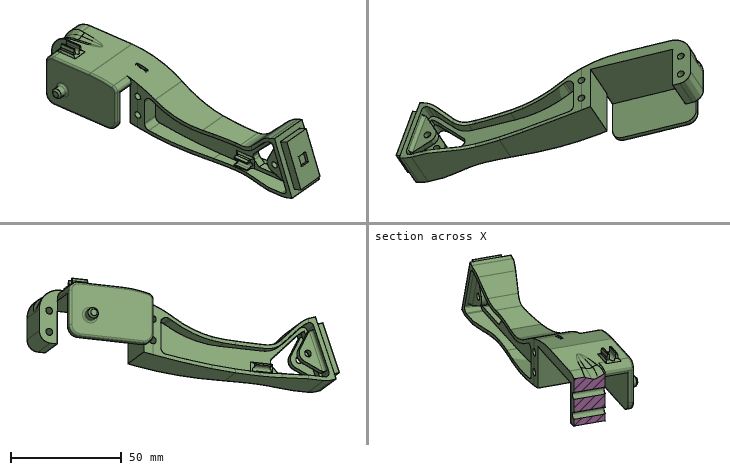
import math

import cadquery as cq


overall_height = 33.76

top_z = 30.2
housing_bottom_z = 4.75
cavity_left_x = 8.7
cavity_right_x = 48.8
cavity_top_z = 25.0
end_block_width = 15.4
end_block_top_radius = 10.0
end_block_bottom_radius = 5.3
mount_hole_diameter = 3.2
mount_hole_xs = (4.8, 53.2)
mount_hole_zs = (10.0, 20.0)

plate_right_x = 49.45
plate_inner_y = -28.0
plate_outer_y = -30.9
plate_bottom_radius = 5.0
plate_top_radius = 4.2
plate_tail_radius = 3.0
plate_edge_radius = 1.0

pin_x = 18.5
pin_z = 15.0
pin_diameter = 5.0
pin_length = 5.0
pin_root_radius = 1.1
pin_tip_chamfer = 0.95

arm_width = 20.0
arm_height = 15.0
shoulder_start_x = 34.1
shoulder_inflection_x = 63.0
neck_start_x = 88.6
neck_end_x = 109.5
ramp_start_x = 116.5
ramp_end_x = 124.1
ramp_slope = math.radians(45)
ramp_start_z = arm_height + (ramp_start_x - neck_end_x) * math.tan(ramp_slope / 2)
arm_left_z = 4.0
underside_flat_x = 94.4
heel_start_x = 136.0
heel_tip_straight = 1.6
toe_tip_straight = 2.3

end_tilt = math.radians(19.6)
end_face_length = 30.0
end_top_x = 131.91
end_top_z = 29.65

waist_start_x = 53.2
waist_arc_ends = ((82.5, 1.75), (94.4, 3.05), (106.4, 3.7), (116.8, 2.5), (128.5, 0.0))

rim_thickness = 1.8
end_wall_thickness = 2.3
web_thickness = 4.0
web_front_y = -(arm_width + web_thickness) / 2
pocket_left_x = 57.1
pocket_left_radius = 2.8
pocket_right_radius = 2.0
ledge_width = 2.0
window_left_x = 113.3
window_left_z = 7.2
window_corner_radius = 2.0

lug_hole_diameter = 3.1
lug_hole_setback = 7.9
lug_nose_radius = 4.25
lug_base_half_length = 9.85
lug_thickness = 3.0
lug_spread = 14.0
lug_root_radius = 1.5

pad_length = 24.0
pad_width = 14.0
pad_thickness = 4.0
pad_recess_size = 5.0
pad_recess_depth = 1.5

clip_length = 7.4
clip_height = overall_height - top_z
clip_channel_width = 3.1
clip_prong_thickness = 1.2
clip_tip_chamfer = 0.5
clip_tip_height = 1.4
clip_channel_floor = 0.4
clip_foot_length = 10.6
clip_foot_width = 7.2
clip_foot_height = 0.9
top_clip_x = 16.2
top_clip_y = -21.85
web_clip_x = 108.9
web_clip_z = 3.9

groove_y = -arm_width / 2
groove_tip_x = 25.0
groove_bend_x = 11.6
groove_flank = (0.9, 12.0, 9.0)
groove_bottom = (1.3, 12.3, 3.0)
slot_diameter = 1.5
slot_start_x = 44.6
slot_end_x = 50.6
slot_top_z = 29.2
slot_floor_z = 27.0

far = 400.0


def box(x0, x1, y0, y1, z0, z1):
    return cq.Workplane("XY").box(x1 - x0, y1 - y0, z1 - z0, centered=False).translate((x0, y0, z0))


def side_sketch(y=0.0):
    """XZ workplane at the given Y; extruding it goes towards -Y."""
    return cq.Workplane("XZ", origin=(0, y, 0))


def end_point(down, out):
    """(x, z) of a point given from the middle of the end face: down its slope and outward."""
    along = down + end_face_length / 2
    x = end_top_x + along * math.sin(end_tilt) + out * math.cos(end_tilt)
    z = end_top_z - along * math.cos(end_tilt) + out * math.sin(end_tilt)
    return x, z


def end_plane(y=0.0):
    """Plane on the end face: local X across the arm, local Y up the slope, normal outward."""
    x, z = end_point(0, 0)
    return cq.Plane(
        origin=(x, y, z),
        xDir=(0, 1, 0),
        normal=(math.cos(end_tilt), 0, math.sin(end_tilt)),
    )


def arm_outline():
    fall = top_z - arm_height
    shoulder_share = (shoulder_inflection_x - shoulder_start_x) / (neck_start_x - shoulder_start_x)
    ramp_end_z = ramp_start_z + (ramp_end_x - ramp_start_x) * math.tan(ramp_slope)
    half = end_face_length / 2
    return (
        side_sketch()
        .moveTo(0, housing_bottom_z + end_block_bottom_radius)
        .lineTo(0, top_z - end_block_top_radius)
        .tangentArcPoint((end_block_top_radius, top_z), relative=False)
        .lineTo(shoulder_start_x, top_z)
        .tangentArcPoint((shoulder_inflection_x, top_z - fall * shoulder_share), relative=False)
        .tangentArcPoint((neck_start_x, arm_height), relative=False)
        .lineTo(neck_end_x, arm_height)
        .tangentArcPoint((ramp_start_x, ramp_start_z), relative=False)
        .lineTo(ramp_end_x, ramp_end_z)
        .tangentArcPoint(end_point(-half, -toe_tip_straight), relative=False)
        .lineTo(*end_point(-half, 0))
        .lineTo(*end_point(half, 0))
        .lineTo(*end_point(half, -heel_tip_straight))
        .tangentArcPoint((heel_start_x, 0), relative=False)
        .lineTo(underside_flat_x, 0)
        .tangentArcPoint((cavity_right_x, arm_left_z), relative=False)
        .lineTo(cavity_right_x, housing_bottom_z)
        .lineTo(end_block_bottom_radius, housing_bottom_z)
        .tangentArcPoint((0, housing_bottom_z + end_block_bottom_radius), relative=False)
        .close()
    )


def waist_plan():
    """Prism of the arm's plan outline, narrowed equally on both sides of its middle plane."""
    middle_y = -arm_width / 2
    half = cq.Workplane("XY").moveTo(0, middle_y).lineTo(0, 0).lineTo(waist_start_x, 0)
    for x, inset in waist_arc_ends:
        half = half.tangentArcPoint((x, -inset), relative=False)
    half = half.lineTo(far, 0).lineTo(far, middle_y).close().extrude(far)
    return half.union(half.mirror("XZ").translate((0, 2 * middle_y, 0)))


def inset_prism(inset):
    """Prism of the arm outline drawn in by the given amount, up to the inside of the end wall."""
    prism = arm_outline().offset2D(-inset).extrude(arm_width)
    wall = cq.Workplane(end_plane()).workplane(offset=-end_wall_thickness).rect(far, far).extrude(far)
    return prism.cut(wall)


def pocket_prism():
    end_faces = cq.DirectionMinMaxSelector(end_plane().zDir)
    prism = inset_prism(rim_thickness).intersect(box(pocket_left_x, far, -far, far, -far, far))
    prism = prism.faces("<X").edges("|Y").fillet(pocket_left_radius)
    return prism.faces(end_faces).edges("|Y").fillet(pocket_right_radius)


def window_prism():
    inset = rim_thickness + ledge_width
    slant_run = far / 2
    slant_rise = slant_run * math.tan(ramp_slope)
    slant_z = ramp_start_z - (ramp_start_x - window_left_x) * math.tan(ramp_slope)
    slant_z -= inset / math.cos(ramp_slope)
    limit = (
        side_sketch()
        .moveTo(window_left_x + window_left_z, 0)
        .lineTo(window_left_x, window_left_z)
        .lineTo(window_left_x, slant_z)
        .lineTo(window_left_x + slant_run, slant_z + slant_rise)
        .lineTo(far, slant_z + slant_rise)
        .lineTo(far, 0)
        .close()
        .extrude(arm_width)
        .faces("<X")
        .edges("|Y")
        .fillet(window_corner_radius)
    )
    return inset_prism(inset).intersect(limit)


def lug(front_y):
    """Rounded triangular lug; its hole is added later, through both lugs."""
    base_out = -end_wall_thickness - lug_root_radius
    reach = lug_hole_setback + base_out
    distance = math.hypot(lug_base_half_length, reach)
    tangent_angle = math.atan2(lug_base_half_length, reach) + math.acos(lug_nose_radius / distance)
    nose_down = lug_nose_radius * math.sin(tangent_angle)
    nose_out = lug_nose_radius * math.cos(tangent_angle) - lug_hole_setback
    return (
        side_sketch(front_y + lug_thickness)
        .moveTo(*end_point(-lug_base_half_length, -end_wall_thickness / 2))
        .lineTo(*end_point(-lug_base_half_length, base_out))
        .lineTo(*end_point(-nose_down, nose_out))
        .threePointArc(
            end_point(0, -lug_hole_setback - lug_nose_radius),
            end_point(nose_down, nose_out),
        )
        .lineTo(*end_point(lug_base_half_length, base_out))
        .lineTo(*end_point(lug_base_half_length, -end_wall_thickness / 2))
        .close()
        .extrude(lug_thickness)
    )


def lug_root(front_y):
    """Concave fillet between the outer face of a lug and the end wall."""
    block = (
        cq.Workplane(end_plane(front_y))
        .workplane(offset=-end_wall_thickness)
        .center(-lug_root_radius / 2, 0)
        .rect(lug_root_radius, 2 * lug_base_half_length)
        .extrude(-lug_root_radius)
    )
    x, z = end_point(lug_base_half_length, -end_wall_thickness - lug_root_radius)
    round_plane = cq.Plane(
        origin=(x, front_y - lug_root_radius, z),
        xDir=(0, 1, 0),
        normal=(-math.sin(end_tilt), 0, math.cos(end_tilt)),
    )
    return block.cut(cq.Workplane(round_plane).circle(lug_root_radius).extrude(2 * lug_base_half_length))


def hinge_lugs():
    front_y = -(arm_width + lug_spread) / 2
    front = lug(front_y).union(lug_root(front_y))
    back = front.mirror("XZ").translate((0, -arm_width, 0))
    return front.union(back)


def end_pad():
    """Raised pad on the end face with a shallow square recess in its middle."""
    pad = cq.Workplane(end_plane(-arm_width / 2)).rect(pad_width, pad_length).extrude(pad_thickness)
    recess = (
        cq.Workplane(end_plane(-arm_width / 2))
        .workplane(offset=pad_thickness - pad_recess_depth)
        .rect(pad_recess_size, pad_recess_size)
        .extrude(pad_recess_depth)
    )
    return pad.cut(recess)


def cable_clip():
    """Two prongs with a round-bottomed channel along X, standing on Z = 0."""
    half_channel = clip_channel_width / 2
    half_width = half_channel + clip_prong_thickness
    prongs = (
        cq.Workplane("YZ")
        .moveTo(-half_width, 0)
        .lineTo(-half_width, clip_height - clip_tip_height)
        .lineTo(-half_width + clip_tip_chamfer, clip_height)
        .lineTo(half_width - clip_tip_chamfer, clip_height)
        .lineTo(half_width, clip_height - clip_tip_height)
        .lineTo(half_width, 0)
        .close()
        .extrude(clip_length / 2, both=True)
    )
    foot = (
        cq.Workplane("XY")
        .rect(clip_foot_length, clip_foot_width)
        .workplane(offset=clip_foot_height)
        .rect(clip_length, 2 * half_width)
        .loft()
    )
    channel_axis_z = clip_channel_floor + half_channel
    channel = (
        cq.Workplane("YZ")
        .moveTo(-half_channel, clip_height)
        .lineTo(-half_channel, channel_axis_z)
        .threePointArc((0, clip_channel_floor), (half_channel, channel_axis_z))
        .lineTo(half_channel, clip_height)
        .close()
        .extrude(clip_foot_length, both=True)
    )
    return prongs.union(foot).cut(channel)


def pivot_plate(outline_prism):
    """Roof beyond the end block and the plate hanging from its outer edge."""
    block = box(cavity_left_x, plate_right_x, plate_outer_y, -end_block_width, housing_bottom_z, top_z)
    block = block.edges("|Y and <Z").fillet(plate_bottom_radius)
    block = block.edges("|Y and <X and >Z").fillet(plate_top_radius)
    block = block.intersect(outline_prism)
    block = block.faces(">X").edges("|Y").edges(">Z").fillet(plate_tail_radius)
    block = block.faces("<Y").edges().fillet(plate_edge_radius)
    return block.cut(box(0, far, plate_inner_y, 0, 0, cavity_top_z))


def pivot_pin():
    """Turned pin with a concave root fillet and a chamfered tip."""
    radius = pin_diameter / 2
    root_radius = radius + pin_root_radius
    fillet_end_y = plate_outer_y - pin_root_radius
    fillet_offset = pin_root_radius * math.sin(math.pi / 4)
    tip_y = plate_outer_y - pin_length
    return (
        cq.Workplane("XY")
        .moveTo(0, plate_inner_y)
        .lineTo(root_radius, plate_inner_y)
        .lineTo(root_radius, plate_outer_y)
        .threePointArc(
            (root_radius - fillet_offset, fillet_end_y + fillet_offset),
            (radius, fillet_end_y),
        )
        .lineTo(radius, tip_y + pin_tip_chamfer)
        .lineTo(radius - pin_tip_chamfer, tip_y)
        .lineTo(0, tip_y)
        .close()
        .revolve(360, (0, 0, 0), (0, 1, 0))
        .translate((pin_x, 0, pin_z))
    )


def groove_cutter(depth, bend_radius, section_radius):
    """Round bar diving from the roof, carried on around the rounded end."""
    run = groove_tip_x - groove_bend_x
    dive = math.atan2(depth, run)
    bar = (
        cq.Workplane("YZ")
        .center(0, section_radius)
        .circle(section_radius)
        .extrude(-math.hypot(run, depth))
        .rotate((0, 0, 0), (0, 1, 0), -math.degrees(dive))
        .translate((groove_tip_x, groove_y, top_z))
    )
    axis_drop = bend_radius + section_radius
    ring = (
        cq.Workplane("YZ", origin=(groove_bend_x, groove_y, top_z - depth + section_radius))
        .circle(section_radius)
        .revolve(90, (0, -axis_drop, 0), (-1, -axis_drop, 0))
    )
    return bar, ring


def thread_slot():
    """Slot along X with a round top, running out through the falling roof."""
    radius = slot_diameter / 2
    axis_z = slot_top_z - radius
    return (
        cq.Workplane("YZ", origin=(slot_start_x, groove_y, 0))
        .moveTo(-radius, slot_floor_z)
        .lineTo(-radius, axis_z)
        .threePointArc((0, slot_top_z), (radius, axis_z))
        .lineTo(radius, slot_floor_z)
        .close()
        .extrude(slot_end_x - slot_start_x)
    )


outline_prism = arm_outline().extrude(-plate_outer_y)
body = outline_prism.intersect(waist_plan())
body = body.cut(box(0, cavity_left_x + plate_top_radius, -arm_width, -end_block_width, 0, top_z))
body = body.cut(box(cavity_left_x, cavity_right_x, -arm_width, 0, 0, cavity_top_z))
body = body.union(pivot_plate(outline_prism)).union(pivot_pin())

web = box(0, far, web_front_y, web_front_y + web_thickness, -far, far)
body = body.cut(pocket_prism().cut(web)).cut(window_prism())

body = body.union(hinge_lugs()).union(end_pad())
body = body.union(cable_clip().translate((top_clip_x, top_clip_y, top_z)))
web_clip = cable_clip().rotate((0, 0, 0), (1, 0, 0), 90)
body = body.union(web_clip.translate((web_clip_x, web_front_y, web_clip_z)))

mount_holes = [(x, z) for x in mount_hole_xs for z in mount_hole_zs]
body = body.cut(side_sketch().pushPoints(mount_holes).circle(mount_hole_diameter / 2).extrude(arm_width))
lug_hole = end_point(0, -lug_hole_setback)
body = body.cut(side_sketch().pushPoints([lug_hole]).circle(lug_hole_diameter / 2).extrude(arm_width))
for groove_section in (groove_flank, groove_bottom):
    for cutter in groove_cutter(*groove_section):
        body = body.cut(cutter)
body = body.cut(thread_slot())

result = body